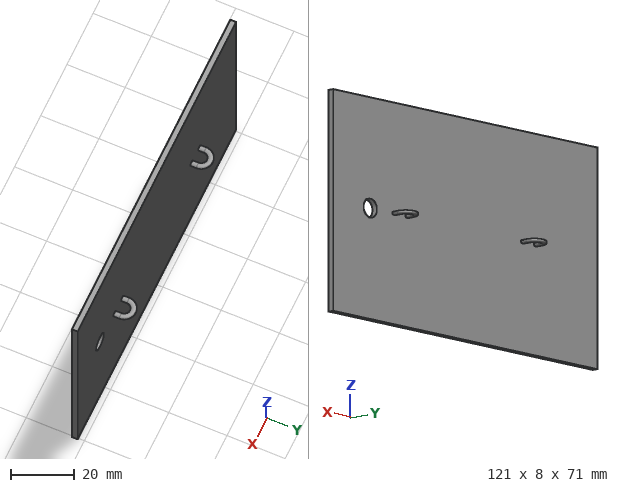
import cadquery as cq

plate_length = 121.0
plate_height = 71.0
total_depth = 8.0
plate_thickness = total_depth / 4

hole_diameter = 6.0
hole_x = 43.4

loop_x = 29.4
wire_width = plate_thickness
wire_depth = 1.2
loop_outer_radius = 2 * wire_width
loop_path_radius = loop_outer_radius - wire_width / 2
leg_end_y = total_depth - loop_outer_radius
root_y = plate_thickness / 2


def make_plate():
    """Plate with its front face at Y = 0 and the through hole cut along Y."""
    plate = cq.Workplane("XY").box(plate_length, plate_thickness, plate_height)
    plate = plate.faces("<Y").workplane(origin=(0, 0, 0)).center(hole_x, 0).hole(hole_diameter)
    return plate.translate((0, plate_thickness / 2, 0))


def make_loop(center_x):
    """U-shaped wire: two straight legs joined by a half-circle arch."""
    left_x = center_x - loop_path_radius
    right_x = center_x + loop_path_radius
    arch_top = (center_x, leg_end_y + loop_path_radius)
    path = (
        cq.Workplane("XY")
        .moveTo(left_x, root_y)
        .lineTo(left_x, leg_end_y)
        .threePointArc(arch_top, (right_x, leg_end_y))
        .lineTo(right_x, root_y)
    )
    section = cq.Workplane("XZ", origin=(left_x, root_y, 0)).ellipse(wire_width / 2, wire_depth / 2)
    return section.sweep(path)


result = make_plate()
for center_x in (-loop_x, loop_x):
    result = result.union(make_loop(center_x))